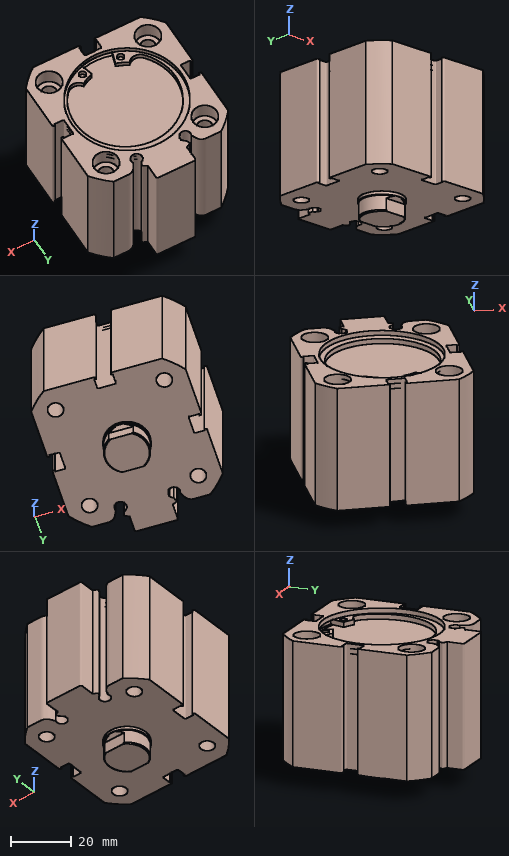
import cadquery as cq
import math


WIDTH = 54.0
HALF_WIDTH = WIDTH / 2
HEIGHT = 44.0
CORNER_RADIUS = 34.0
BORE_RADIUS = 21.0

HOLE_SPACING = 38.0
HOLE_DIAMETER = 5.35
COUNTERBORE_DIAMETER = 9.0
COUNTERBORE_DEPTH = 6.0

SLOT_DEPTH = 4.5
SLOT_HALF_WIDTH = 3.25
MOUTH_HALF_WIDTH = 2.65
LIP_THICKNESS = 0.9
LIP_FILLET = 0.6
SLOT_CORNER_FILLET = 0.3

RAIL_HALF_WIDTH = 7.55
RAIL_HEIGHT = 6.0
RAIL_FILLET = 0.6
GROOVE_X = 9.35
GROOVE_Y = 22.7
GROOVE_RADIUS = 2.05
HOOK_SHOULDER = (RAIL_HALF_WIDTH, 26.95)
HOOK_TIP = (9.3, 26.1)
HOOK_HEEL = (8.6, 24.5)
HOOK_ROOT = (7.25, 23.35)
GROOVE_EDGE = (11.15, 23.4)
GROOVE_MOUTH_X = 12.95
GROOVE_MOUTH_FILLET = 3.3
HOOK_TIP_FILLET = 0.4

RING_RADIUS = 22.2
RING_TURN = -0.5
RING_RECESS = 1.75
RING_THICKNESS = 1.8
RING_OPENING_RADIUS = 19.3
RING_OPENING_Y = -1.25
GAP_HALF_ANGLE = 16.0
EAR_INNER_RADIUS = 16.4
EAR_SCALLOP_RADIUS = 3.6
SCALLOP_DIRECTION = 48.3
EAR_HOLE_RADIUS = 1.25
EAR_HOLE_ANGLE = 23.0
EAR_HOLE_REACH = 18.7

CAP_THICKNESS = 9.0
CAP_TOP = HEIGHT - RING_RECESS - RING_THICKNESS
CAP_SEAT = CAP_TOP - CAP_THICKNESS

ROD_RADIUS = 8.05
ROD_REACH = 7.0
ROD_NECK_RADIUS = 7.8
SHOULDER_HEIGHT = 1.15
SHOULDER_CHAMFER = ROD_RADIUS - ROD_NECK_RADIUS
FLAT_OFFSET = 6.55
FLAT_TOP = -2.45
ROD_END_CHAMFER = 0.3
ROD_END_CHAMFER_HEIGHT = 0.5


def slot_cutter(angle):
    """T-shaped slot through the full height, opening at -Y and turned about Z."""
    floor = SLOT_DEPTH - HALF_WIDTH
    lip = LIP_THICKNESS - HALF_WIDTH
    face = -HALF_WIDTH
    flare = MOUTH_HALF_WIDTH + LIP_FILLET
    inner = (
        cq.Workplane("XY")
        .moveTo(0, (floor + lip) / 2)
        .rect(2 * SLOT_HALF_WIDTH, floor - lip)
        .extrude(HEIGHT)
        .edges("|Z and >Y")
        .fillet(SLOT_CORNER_FILLET)
    )
    mouth = (
        cq.Workplane("XY")
        .moveTo(-flare, face)
        .radiusArc((-MOUTH_HALF_WIDTH, face + LIP_FILLET), -LIP_FILLET)
        .lineTo(-MOUTH_HALF_WIDTH, lip)
        .lineTo(MOUTH_HALF_WIDTH, lip)
        .lineTo(MOUTH_HALF_WIDTH, face + LIP_FILLET)
        .radiusArc((flare, face), -LIP_FILLET)
        .close()
        .extrude(HEIGHT)
    )
    return inner.union(mouth).rotate((0, 0, 0), (0, 0, 1), angle)


def groove_cutter():
    """Hooked groove on the +X side of the rail, opening at +Y."""
    channel = (
        cq.Workplane("XY")
        .polyline([
            (RAIL_HALF_WIDTH, HALF_WIDTH),
            HOOK_SHOULDER,
            HOOK_TIP,
            HOOK_HEEL,
            HOOK_ROOT,
            (GROOVE_X, GROOVE_Y),
            GROOVE_EDGE,
            (GROOVE_MOUTH_X, HALF_WIDTH),
        ])
        .close()
        .extrude(HEIGHT)
    )
    root = cq.Workplane("XY").center(GROOVE_X, GROOVE_Y).circle(GROOVE_RADIUS).extrude(HEIGHT)
    return channel.union(root)


def make_housing():
    block = cq.Workplane("XY").rect(WIDTH, WIDTH).extrude(HEIGHT)
    body = block.intersect(cq.Workplane("XY").circle(CORNER_RADIUS).extrude(HEIGHT))

    rail = (
        cq.Workplane("XY")
        .moveTo(0, HALF_WIDTH)
        .rect(2 * RAIL_HALF_WIDTH, 2 * RAIL_HEIGHT)
        .extrude(HEIGHT)
        .edges("|Z and >Y")
        .fillet(RAIL_FILLET)
    )
    groove = groove_cutter()
    body = body.union(rail).cut(groove).cut(groove.mirror("YZ"))
    mid_height = HEIGHT / 2
    for side in (-1, 1):
        tip = (side * HOOK_TIP[0], HOOK_TIP[1], mid_height)
        mouth = (side * GROOVE_MOUTH_X, HALF_WIDTH, mid_height)
        body = body.edges(cq.selectors.NearestToPointSelector(tip)).fillet(HOOK_TIP_FILLET)
        body = body.edges(cq.selectors.NearestToPointSelector(mouth)).fillet(GROOVE_MOUTH_FILLET)

    for angle in (0, 90, -90):
        body = body.cut(slot_cutter(angle))

    body = (
        body.faces(">Z")
        .workplane(origin=(0, 0, HEIGHT))
        .rect(HOLE_SPACING, HOLE_SPACING, forConstruction=True)
        .vertices()
        .cboreHole(HOLE_DIAMETER, COUNTERBORE_DIAMETER, COUNTERBORE_DEPTH)
    )

    bore = cq.Workplane("XY").workplane(offset=CAP_SEAT).circle(BORE_RADIUS).extrude(HEIGHT - CAP_SEAT)
    ring_groove = cq.Workplane("XY").workplane(offset=CAP_TOP).circle(RING_RADIUS).extrude(RING_THICKNESS)
    rod_passage = cq.Workplane("XY").circle(ROD_RADIUS).extrude(CAP_SEAT)
    return body.cut(bore).cut(ring_groove).cut(rod_passage)


def make_end_cap():
    return cq.Workplane("XY").workplane(offset=CAP_SEAT).circle(BORE_RADIUS).extrude(CAP_THICKNESS)


def polar(radius, angle, center=(0, 0)):
    """Point at a distance from a centre, the angle in degrees from -Y towards +X."""
    turn = math.radians(angle)
    return (center[0] + radius * math.sin(turn), center[1] - radius * math.cos(turn))


def mirrored(point):
    return (-point[0], point[1])


def make_snap_ring():
    opening_center = (0, RING_OPENING_Y)

    scallop_center = polar(RING_OPENING_RADIUS - EAR_SCALLOP_RADIUS, SCALLOP_DIRECTION, opening_center)
    scallop_end = polar(RING_OPENING_RADIUS, SCALLOP_DIRECTION, opening_center)
    scallop_bottom = polar(EAR_SCALLOP_RADIUS, 0, scallop_center)

    reach = math.hypot(*scallop_center)
    center_angle = math.degrees(math.atan2(scallop_center[0], -scallop_center[1]))
    cosine = (reach**2 + EAR_INNER_RADIUS**2 - EAR_SCALLOP_RADIUS**2) / (2 * reach * EAR_INNER_RADIUS)
    tip_angle = center_angle - math.degrees(math.acos(cosine))
    ear_tip = polar(EAR_INNER_RADIUS, tip_angle)
    ear_middle = polar(EAR_INNER_RADIUS, (GAP_HALF_ANGLE + tip_angle) / 2)
    ear_corner = polar(EAR_INNER_RADIUS, GAP_HALF_ANGLE)
    ring_end = polar(RING_RADIUS, GAP_HALF_ANGLE)

    outline = (
        cq.Workplane("XY")
        .workplane(offset=CAP_TOP)
        .moveTo(*ring_end)
        .threePointArc((0, RING_RADIUS), mirrored(ring_end))
        .lineTo(*mirrored(ear_corner))
        .threePointArc(mirrored(ear_middle), mirrored(ear_tip))
        .threePointArc(mirrored(scallop_bottom), mirrored(scallop_end))
        .threePointArc((0, RING_OPENING_Y + RING_OPENING_RADIUS), scallop_end)
        .threePointArc(scallop_bottom, ear_tip)
        .threePointArc(ear_middle, ear_corner)
        .close()
    )
    ear_hole = polar(EAR_HOLE_REACH, EAR_HOLE_ANGLE)
    ear_holes = (
        cq.Workplane("XY")
        .workplane(offset=CAP_TOP)
        .pushPoints([ear_hole, mirrored(ear_hole)])
        .circle(EAR_HOLE_RADIUS)
        .extrude(RING_THICKNESS)
    )
    ring = outline.extrude(RING_THICKNESS).cut(ear_holes)
    return ring.rotate((0, 0, 0), (0, 0, 1), RING_TURN)


def make_rod():
    """Stepped rod with two wrench flats on its free end."""
    shoulder_z = -SHOULDER_HEIGHT
    rod = (
        cq.Workplane("XZ")
        .polyline([
            (0, CAP_SEAT),
            (ROD_RADIUS, CAP_SEAT),
            (ROD_RADIUS, shoulder_z),
            (ROD_NECK_RADIUS, shoulder_z - SHOULDER_CHAMFER),
            (ROD_NECK_RADIUS, ROD_END_CHAMFER_HEIGHT - ROD_REACH),
            (ROD_NECK_RADIUS - ROD_END_CHAMFER, -ROD_REACH),
            (0, -ROD_REACH),
        ])
        .close()
        .revolve(360, (0, 0, 0), (0, 1, 0))
    )

    runout = shoulder_z - FLAT_TOP
    flat = (
        cq.Workplane("YZ")
        .polyline([
            (FLAT_OFFSET, -ROD_REACH),
            (FLAT_OFFSET, FLAT_TOP),
            (FLAT_OFFSET + runout, shoulder_z),
            (FLAT_OFFSET + ROD_RADIUS, shoulder_z),
            (FLAT_OFFSET + ROD_RADIUS, -ROD_REACH),
        ])
        .close()
        .extrude(ROD_RADIUS, both=True)
    )
    return rod.cut(flat).cut(flat.mirror("XZ"))


housing = make_housing()
end_cap = make_end_cap()
snap_ring = make_snap_ring()
rod = make_rod()

result = cq.Compound.makeCompound([housing.val(), end_cap.val(), snap_ring.val(), rod.val()])